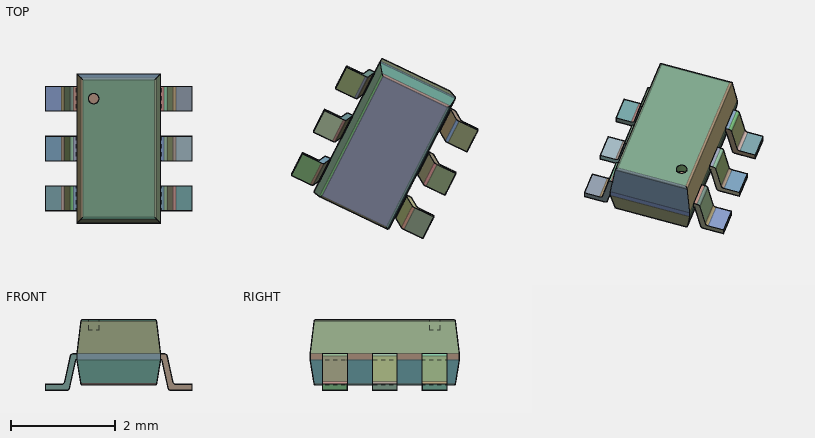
import cadquery as cq
import math

body_x = 1.6
body_y = 2.85
body_top = 1.35
body_bottom = 0.1
draft_inset = 0.08
edge_radius = 0.04

mark_diameter = 0.2
mark_depth = 0.2
mark_x = -0.48
mark_y = 0.952

lead_span = 2.8
lead_width = 0.475
lead_thickness = 0.12
lead_pitch = 0.95
leads_per_side = 3
shoulder_top = 0.7
shoulder_length = 0.02
leg_angle = 12.5
bend_radius = 0.06

belt_top = shoulder_top
belt_bottom = shoulder_top - lead_thickness


def make_half(belt_z, end_z):
    """Tapered half of the body from the belt to its rounded flat end."""
    height = abs(end_z - belt_z)
    taper = math.degrees(math.atan(draft_inset / height))
    outward = 1 if end_z > belt_z else -1
    half = (
        cq.Workplane("XY", origin=(0, 0, belt_z))
        .rect(body_x, body_y)
        .extrude(outward * height, taper=taper)
    )
    end_face = ">Z" if outward > 0 else "<Z"
    return half.faces(end_face).edges().fillet(edge_radius)


def make_body():
    """Moulded body: straight belt, two tapered halves and the pin 1 mark."""
    belt = (
        cq.Workplane("XY", origin=(0, 0, belt_bottom))
        .rect(body_x, body_y)
        .extrude(lead_thickness)
    )
    mark = (
        cq.Workplane("XY", origin=(mark_x, mark_y, body_top))
        .circle(mark_diameter / 2)
        .extrude(-mark_depth)
    )
    upper = make_half(belt_top, body_top)
    lower = make_half(belt_bottom, body_bottom)
    return belt.union(upper).union(lower).cut(mark)


def make_right_lead():
    """Gull-wing lead on the +X side, centred on Y = 0."""
    face_x = body_x / 2
    tip_x = lead_span / 2
    slope = math.tan(math.radians(leg_angle))
    leg_width = lead_thickness / math.cos(math.radians(leg_angle))

    inner_top_x = face_x + shoulder_length
    inner_bottom_x = inner_top_x + belt_bottom * slope
    outer_top_x = inner_top_x + leg_width - lead_thickness * slope
    outer_bottom_x = outer_top_x + (shoulder_top - lead_thickness) * slope

    lead = (
        cq.Workplane("XZ", origin=(0, lead_width / 2, 0))
        .moveTo(face_x, shoulder_top)
        .lineTo(outer_top_x, shoulder_top)
        .lineTo(outer_bottom_x, lead_thickness)
        .lineTo(tip_x, lead_thickness)
        .lineTo(tip_x, 0)
        .lineTo(inner_bottom_x, 0)
        .lineTo(inner_top_x, belt_bottom)
        .lineTo(face_x, belt_bottom)
        .close()
        .extrude(lead_width)
    )
    for bend_x, bend_z in (
        (outer_top_x, shoulder_top),
        (outer_bottom_x, lead_thickness),
        (inner_bottom_x, 0),
    ):
        bend_edge = cq.selectors.NearestToPointSelector((bend_x, 0, bend_z))
        lead = lead.edges("|Y").edges(bend_edge).fillet(bend_radius)
    return lead


def make_leads():
    """All leads, in a row along Y on each side of the body."""
    right_lead = make_right_lead()
    left_lead = right_lead.rotate((0, 0, 0), (0, 0, 1), 180)
    leads = []
    for index in range(leads_per_side):
        lead_y = (index - (leads_per_side - 1) / 2) * lead_pitch
        for lead in (right_lead, left_lead):
            leads.append(lead.translate((0, lead_y, 0)))
    return leads


body = make_body()
leads = make_leads()
result = cq.Compound.makeCompound([body.val(), *[lead.val() for lead in leads]])